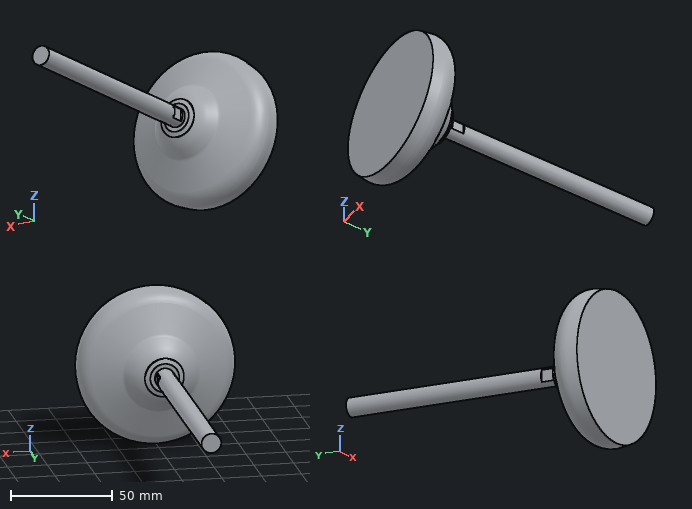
import cadquery as cq
import math

total_length = 151.5

bulge_radius = 9.4
bulge_center_r = 30.6
bulge_center_h = 7.3
taper_height = 5.9
bulge_seam_height = 9.1
bulge_top_height = 15.9
fillet_bottom_height = 22.1
fillet_top_height = 23.3
fillet_top_r = 18.2
crown_mid_r = 14.0
crown_mid_h = 27.3
crown_top_r = 9.2
foot_height = 29.7

rod_diameter = 10.0
collar_rim_r = 9.8
collar_rim_height = 30.6
collar_top_r = 7.3
collar_top_height = 31.5
flat_width = 7.9
flat_start = 33.5
flat_end = 40.3

base_y = -total_length / 2


def bulge_r(height):
    """Radius of the foot where its round bulge reaches the given height."""
    rise = height - bulge_center_h
    return bulge_center_r + math.sqrt(bulge_radius**2 - rise**2)


def bulge_slope(height):
    """Change in radius per unit of height, tangent to the bulge."""
    return (bulge_center_h - height) / (bulge_r(height) - bulge_center_r)


def revolve_about_y(profile):
    """Turn a closed (radius, height) profile about Y, with height 0 on the underside."""
    return profile.close().revolve(360, (0, 0, 0), (0, 1, 0)).translate((0, base_y, 0))


def make_foot():
    taper_r = bulge_r(taper_height)
    base_r = taper_r - taper_height * bulge_slope(taper_height)
    lower_mid_h = (taper_height + bulge_seam_height) / 2
    upper_mid_h = (bulge_seam_height + bulge_top_height) / 2
    shoulder_slope = bulge_slope(bulge_top_height)
    shoulder_rise = fillet_bottom_height - bulge_top_height
    fillet_bottom_r = bulge_r(bulge_top_height) + shoulder_rise * shoulder_slope
    profile = (
        cq.Workplane("XY")
        .lineTo(base_r, 0)
        .lineTo(taper_r, taper_height)
        .threePointArc((bulge_r(lower_mid_h), lower_mid_h), (bulge_r(bulge_seam_height), bulge_seam_height))
        .threePointArc((bulge_r(upper_mid_h), upper_mid_h), (bulge_r(bulge_top_height), bulge_top_height))
        .lineTo(fillet_bottom_r, fillet_bottom_height)
        .tangentArcPoint((fillet_top_r, fillet_top_height), relative=False)
        .threePointArc((crown_mid_r, crown_mid_h), (crown_top_r, foot_height))
        .lineTo(0, foot_height)
    )
    return revolve_about_y(profile)


def make_spindle():
    rod_r = rod_diameter / 2
    profile = (
        cq.Workplane("XY")
        .moveTo(0, foot_height)
        .lineTo(crown_top_r, foot_height)
        .lineTo(collar_rim_r, collar_rim_height)
        .lineTo(collar_top_r, collar_top_height)
        .lineTo(rod_r, collar_top_height)
        .lineTo(rod_r, total_length)
        .lineTo(0, total_length)
    )
    spindle = revolve_about_y(profile)

    flat_length = flat_end - flat_start
    flat_center_y = base_y + (flat_start + flat_end) / 2
    for side in (-1, 1):
        cutter_x = side * (flat_width + rod_diameter) / 2
        cutter = cq.Workplane("XY").box(rod_diameter, flat_length, rod_diameter)
        spindle = spindle.cut(cutter.translate((cutter_x, flat_center_y, 0)))
    return spindle


foot = make_foot()
spindle = make_spindle()

result = cq.Compound.makeCompound([foot.val(), spindle.val()])